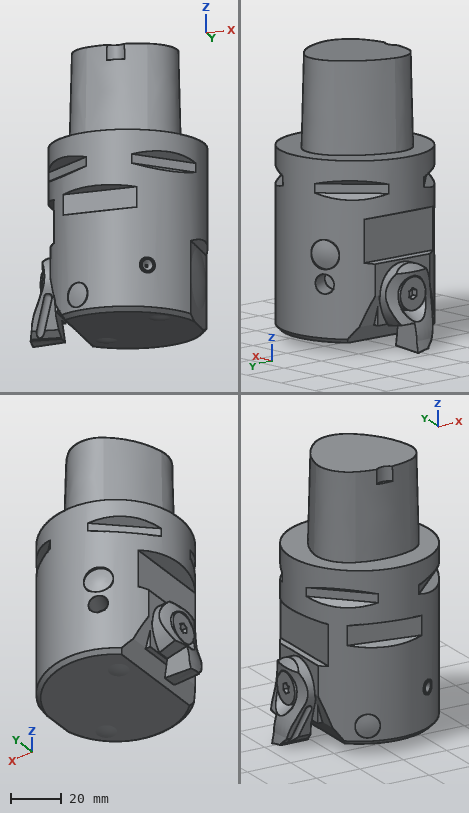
import cadquery as cq
import math


body_diameter = 63.0
body_radius = body_diameter / 2
body_length = 74.0
bottom_chamfer = 1.8
clearance = 1.0

shank_length = 38.0
shank_mean_radius = 22.0
lobe_height = 1.5
lobe_centre_distance = 8.7
taper_ratio = 1 / 20
taper_angle = math.degrees(math.atan(taper_ratio / 2))
notch_radius = 5.0
notch_centre_y = -22.9
notch_depth = 6.3

gripper_floor_distance = 27.9
gripper_floor_top = -10.1
gripper_floor_bottom = -13.8
gripper_wall_angle = 30.0

wrench_floor_distance = 27.25
wrench_floor_top = -23.4
wrench_floor_bottom = -31.7
wrench_turn = 9.5
relief_wall_angle = 15.0

relief_floor_distance = 25.5
relief_floor_top = -23.7
relief_floor_bottom = -41.3
seat_top = -41.8
seat_distance = 27.85
cutter_centre_z = -55.0
upper_slope_bottom = -67.2
upper_slope_angle = 16.0
lower_slope_angle = 33.0
pad_distance = 26.5
pad_bottom = -67.5
cutter_diameter = 24.0

back_flat_distance = 28.9
back_flat_top = -42.4
cover_diameter = 23.84
cover_height = 1.5

side_plug_diameter = 10.02
side_plug_depth = 2.0
side_plug_angle = 245.0
side_plug_z = -65.8
dome_height = 0.5
bottom_plug_height = 0.6
bottom_plug_diameter = 8.5
bottom_plug_places = [(16.9, -15.8), (-12.5, 14.2)]
sunk_plug_diameter = 12.0
sunk_plug_depth = 1.0
sunk_plug_z = -38.4
rear_angle = 115.0
rear_hole_diameter = 8.0
rear_hole_depth = 10.0
rear_hole_z = -50.3
nozzle_angle = -61.3
nozzle_z = -55.1
nozzle_diameter = 6.25
nozzle_ring_diameter = 5.01
nozzle_ring_depth = 0.4
nozzle_mouth_diameter = 4.7
nozzle_cone_depth = 1.6
nozzle_bore_diameter = 1.0
nozzle_bore_depth = 4.0

cutter_back_x = -27.3
front_axis_x = -10.0
front_crown_x = -34.3
front_chamfer = 3.1
tip_x = -39.25
tip_z = -78.0
rake_face_y = 2.0
cutter_stock = 20.0
flank_top_y = -11.5
flank_drop = math.sqrt((cutter_diameter / 2) ** 2 - flank_top_y**2)
flank_top = (flank_top_y, cutter_centre_z - flank_drop)
flank_bottom = (-6.7, -73.8)
shoulder_back_z = -68.0
shoulder_front = (-40.0, -65.7)
shoulder_width_end = 7.0
left_joint_y = 11.7
left_arc_middle = (10.1, -63.0)
blade_tip = [(-4.0, -76.4), (-4.0, -77.0), (-1.5, -77.2), (rake_face_y, tip_z)]
front_curve = [(-34.1, -52.5), (-34.9, -59.0), (-37.3, -66.5), (-38.4, -73.3)]
back_bend_z = -68.5
back_heel = (-26.1, -76.9)
groove_radius = 1.6
groove_start = (-29.9, -61.4)
groove_end = (-35.1, -77.4)

screw_head_diameter = 13.6
screw_bore_diameter = 14.4
screw_face_x = -34.0
screw_head_height = 4.0
screw_shank_diameter = 8.0
screw_end_x = -12.0
hex_flats = 4.0
hex_depth = 2.5
scoop_start_x = -31.0
scoop_length = 10.0
scoop_drop = 6.0


def radial_plane(angle, distance, z):
    """Plane facing outwards from the body axis, with its own Y pointing along +Z."""
    turn = math.radians(angle)
    outward = (math.cos(turn), math.sin(turn), 0)
    tangent = (-math.sin(turn), math.cos(turn), 0)
    origin = (distance * outward[0], distance * outward[1], z)
    return cq.Plane(origin=origin, xDir=tangent, normal=outward)


def disc(angle, distance, z, diameter, height):
    """Radial cylinder; a negative height runs inwards."""
    return cq.Workplane(radial_plane(angle, distance, z)).circle(diameter / 2).extrude(height)


def dome(diameter, height):
    """Spherical cap that stands on z = 0."""
    base_radius = diameter / 2
    sphere_radius = (base_radius**2 + height**2) / (2 * height)
    half_angle = math.asin(base_radius / sphere_radius) / 2
    middle = (
        sphere_radius * math.sin(half_angle),
        height - sphere_radius * (1 - math.cos(half_angle)),
    )
    return (
        cq.Workplane("XZ")
        .moveTo(0, 0)
        .lineTo(base_radius, 0)
        .threePointArc(middle, (0, height))
        .close()
        .revolve(360, (0, 0, 0), (0, 1, 0))
    )


def radial_dome(angle, distance, z, diameter, height):
    """Spherical cap that faces outwards from the body axis."""
    return cq.Workplane(dome(diameter, height).val().moved(radial_plane(angle, distance, z).location))


def side_groove(angle, distance, top, bottom, wall_angle):
    """Straight groove across the body side, with sloping walls."""
    reach = body_radius + clearance
    spread = (reach - distance) * math.tan(math.radians(wall_angle))
    profile = [(distance, bottom), (distance, top), (reach, top + spread), (reach, bottom - spread)]
    groove = cq.Workplane("XZ").polyline(profile).close().extrude(body_radius, both=True)
    return groove.rotate((0, 0, 0), (0, 0, 1), angle)


def polar(radius, angle):
    return (radius * math.cos(math.radians(angle)), radius * math.sin(math.radians(angle)))


def shank():
    """Lobes and flanks are tangent arcs; the first lobe points along +Y."""
    lobe_top = shank_mean_radius + lobe_height
    flank_top = shank_mean_radius - lobe_height
    lobe_radius = lobe_top - lobe_centre_distance
    gap = flank_top - lobe_radius
    flank_offset = (gap**2 - lobe_centre_distance**2) / (lobe_centre_distance - 2 * gap)
    flank_x, flank_y = polar(-flank_offset, 30)
    run = math.hypot(-flank_x, lobe_centre_distance - flank_y)
    joint_x = -flank_x / run * lobe_radius
    joint_y = lobe_centre_distance + (lobe_centre_distance - flank_y) / run * lobe_radius
    joint_radius = math.hypot(joint_x, joint_y)
    joint_angle = math.degrees(math.atan2(joint_x, joint_y))

    outline = cq.Workplane("XY").moveTo(*polar(joint_radius, 90 - joint_angle))
    for lobe_angle in (90, 210, 330):
        outline = outline.threePointArc(
            polar(lobe_top, lobe_angle), polar(joint_radius, lobe_angle + joint_angle)
        )
        outline = outline.threePointArc(
            polar(flank_top, lobe_angle + 60), polar(joint_radius, lobe_angle + 120 - joint_angle)
        )
    tapered = outline.close().extrude(shank_length, taper=taper_angle)
    notch = (
        cq.Workplane("XY", origin=(0, notch_centre_y, shank_length - notch_depth))
        .circle(notch_radius)
        .extrude(notch_depth)
    )
    return tapered.cut(notch)


def cutter_side():
    """Material to remove on the -X side: the relief, the seat and the slopes below it."""
    reach = -body_radius - clearance
    upper_run = (cutter_centre_z - upper_slope_bottom) * math.tan(math.radians(upper_slope_angle))
    corner_x = -seat_distance + upper_run
    lower_run = (upper_slope_bottom + body_length) * math.tan(math.radians(lower_slope_angle))
    profile = [
        (reach, seat_top),
        (-seat_distance, seat_top),
        (-seat_distance, cutter_centre_z),
        (corner_x, upper_slope_bottom),
        (corner_x + lower_run, -body_length),
        (reach, -body_length),
    ]
    slopes = cq.Workplane("XZ").polyline(profile).close().extrude(body_radius, both=True)
    pad = cq.Workplane("XY").box(
        body_radius - pad_distance + body_radius,
        cutter_diameter,
        cutter_centre_z - pad_bottom,
        centered=(False, True, False),
    )
    pad = pad.translate((-pad_distance, 0, pad_bottom))
    recess = disc(180, seat_distance, cutter_centre_z, cutter_diameter, -(seat_distance + cutter_back_x))
    relief = side_groove(
        180, relief_floor_distance, relief_floor_top, relief_floor_bottom, relief_wall_angle
    )
    return slopes.cut(pad).union(recess).union(relief)


def back_flat():
    """Flat on the +X side, with a 45 degree run-out at its top."""
    reach = body_radius + clearance
    profile = [
        (back_flat_distance, -body_length),
        (back_flat_distance, back_flat_top),
        (reach, back_flat_top + reach - back_flat_distance),
        (reach, -body_length),
    ]
    return cq.Workplane("XZ").polyline(profile).close().extrude(body_radius, both=True)


def nozzle_cut():
    """Stepped cut that leaves a coolant nozzle in the body side."""
    ring = disc(
        nozzle_angle, body_radius + clearance, nozzle_z, nozzle_diameter, -clearance - nozzle_ring_depth
    )
    ring = ring.cut(disc(nozzle_angle, body_radius, nozzle_z, nozzle_ring_diameter, -nozzle_ring_depth))
    cone = (
        cq.Workplane(radial_plane(nozzle_angle, body_radius, nozzle_z))
        .circle(nozzle_mouth_diameter / 2)
        .workplane(offset=-nozzle_cone_depth)
        .circle(nozzle_bore_diameter / 2)
        .loft()
    )
    bore = disc(nozzle_angle, body_radius, nozzle_z, nozzle_bore_diameter, -nozzle_bore_depth)
    return ring.union(cone).union(bore)


def make_body():
    body = cq.Workplane("XY").circle(body_radius).extrude(-body_length)
    body = body.faces("<Z").chamfer(bottom_chamfer).union(shank())

    for angle in (45, 135, 225, 315):
        body = body.cut(
            side_groove(
                angle, gripper_floor_distance, gripper_floor_top, gripper_floor_bottom, gripper_wall_angle
            )
        )
    body = body.cut(
        side_groove(
            270 - wrench_turn,
            wrench_floor_distance,
            wrench_floor_top,
            wrench_floor_bottom,
            relief_wall_angle,
        )
    )
    body = body.cut(cutter_side()).cut(back_flat())
    body = body.union(radial_dome(0, back_flat_distance, cutter_centre_z, cover_diameter, cover_height))

    body = body.union(disc(side_plug_angle, body_radius, side_plug_z, side_plug_diameter, -side_plug_depth))
    body = body.union(
        radial_dome(side_plug_angle, body_radius, side_plug_z, side_plug_diameter, dome_height)
    )
    for x, y in bottom_plug_places:
        plug = dome(bottom_plug_diameter, bottom_plug_height).rotate((0, 0, 0), (1, 0, 0), 180)
        body = body.union(plug.translate((x, y, -body_length)))

    sunk_floor = body_radius - sunk_plug_depth
    body = body.cut(
        disc(rear_angle, sunk_floor, sunk_plug_z, sunk_plug_diameter, 2 * sunk_plug_depth)
    )
    body = body.union(
        radial_dome(rear_angle, sunk_floor, sunk_plug_z, sunk_plug_diameter, sunk_plug_depth)
    )
    body = body.cut(
        disc(
            rear_angle,
            body_radius + clearance,
            rear_hole_z,
            rear_hole_diameter,
            -rear_hole_depth - clearance,
        )
    )
    body = body.cut(nozzle_cut())

    thread_hole = disc(
        180, body_radius, cutter_centre_z, screw_shank_diameter, -(body_radius + screw_end_x)
    )
    return body.cut(thread_hole)


def make_cutter():
    radius = cutter_diameter / 2
    left_joint = (left_joint_y, cutter_centre_z - math.sqrt(radius**2 - left_joint_y**2))
    outline = (
        cq.Workplane("YZ", origin=(cutter_back_x - cutter_stock, 0, 0))
        .moveTo(*left_joint)
        .threePointArc((0, cutter_centre_z + radius), flank_top)
        .lineTo(*flank_bottom)
    )
    for corner in blade_tip:
        outline = outline.lineTo(*corner)
    outline = (
        outline.lineTo(rake_face_y, shoulder_back_z)
        .lineTo(shoulder_width_end, shoulder_back_z)
        .threePointArc(left_arc_middle, left_joint)
        .close()
        .extrude(2 * cutter_stock)
    )

    crown = (
        cq.Workplane("XZ")
        .moveTo(front_axis_x, cutter_centre_z + radius)
        .lineTo(front_crown_x + front_chamfer, cutter_centre_z + radius)
        .lineTo(front_crown_x, cutter_centre_z + radius - front_chamfer)
        .spline(front_curve, includeCurrent=True)
        .lineTo(tip_x, tip_z)
        .lineTo(front_axis_x, tip_z)
        .close()
        .revolve(360, (front_axis_x, 0, 0), (front_axis_x, 1, 0))
    )
    back = (
        cq.Workplane("XZ")
        .moveTo(front_axis_x - 2 * cutter_stock, cutter_centre_z + radius)
        .lineTo(cutter_back_x, cutter_centre_z + radius)
        .lineTo(cutter_back_x, back_bend_z)
        .lineTo(*back_heel)
        .lineTo(tip_x, tip_z)
        .lineTo(front_axis_x - 2 * cutter_stock, tip_z)
        .close()
        .extrude(cutter_stock, both=True)
    )
    cutter = outline.intersect(crown).intersect(back)
    shoulder_slope = (
        cq.Workplane("XZ", origin=(0, rake_face_y, 0))
        .moveTo(cutter_back_x, shoulder_back_z)
        .lineTo(*shoulder_front)
        .lineTo(shoulder_front[0], shoulder_back_z)
        .close()
        .extrude(-cutter_diameter)
    )
    return cutter.cut(shoulder_slope).cut(screw_clearance()).cut(flank_groove())


def screw_clearance():
    """Counterbore and shank hole for the screw, with the mouth scooped out downwards."""
    face_distance = -screw_face_x
    seat = disc(180, face_distance, cutter_centre_z, screw_bore_diameter, -screw_head_height)
    hole = disc(180, face_distance, cutter_centre_z, screw_shank_diameter, -cutter_stock)
    straight_mouth = disc(180, face_distance, cutter_centre_z, screw_bore_diameter, scoop_length)
    scoop = (
        cq.Workplane(radial_plane(180, -scoop_start_x, cutter_centre_z))
        .circle(screw_bore_diameter / 2)
        .workplane(offset=scoop_length)
        .center(0, -scoop_drop)
        .circle(screw_bore_diameter / 2)
        .loft()
    )
    return seat.union(hole).union(straight_mouth).union(scoop)


def flank_groove():
    """Round-bottomed groove down the -Y flank of the blade, with a ball end at its top."""
    flank_slope = (flank_bottom[0] - flank_top[0]) / (flank_bottom[1] - flank_top[1])
    ends = []
    for x, z in (groove_start, groove_end):
        ends.append(cq.Vector(x, flank_top[0] + flank_slope * (z - flank_top[1]), z))
    start, end = ends
    axis = end - start
    channel = cq.Workplane(cq.Solid.makeCylinder(groove_radius, axis.Length, start, axis))
    return channel.union(cq.Workplane("XY").sphere(groove_radius).translate(start))


def make_screw():
    face_distance = -screw_face_x
    head = disc(180, face_distance, cutter_centre_z, screw_head_diameter, -screw_head_height)
    screw_length = face_distance + screw_end_x
    screw = head.union(disc(180, face_distance, cutter_centre_z, screw_shank_diameter, -screw_length))
    socket = (
        cq.Workplane(radial_plane(180, face_distance, cutter_centre_z))
        .polygon(6, hex_flats / math.cos(math.pi / 6))
        .extrude(-hex_depth)
        .rotate((0, 0, cutter_centre_z), (1, 0, cutter_centre_z), 30)
    )
    return screw.cut(socket)


body = make_body()
cutter = make_cutter()
screw = make_screw()
parts = [body, cutter, screw]
result = cq.Compound.makeCompound([part.solids().val() for part in parts])